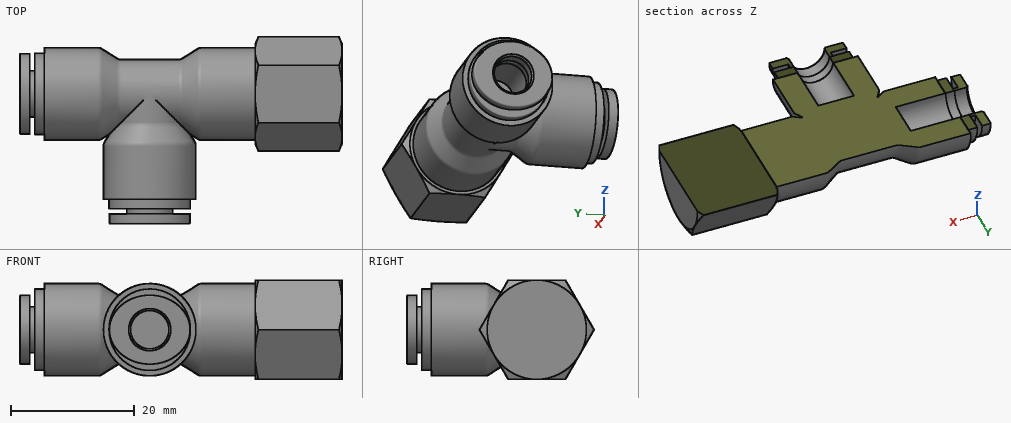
import cadquery as cq
import math


socket_diameter = 14.9
waist_diameter = 11.1
socket_end = 17.0
taper_outer = 8.0
taper_inner = 5.0
taper_blend_radius = 1.0

bore_diameter = 6.2
bore_bottom = 8.3

collar_diameter = 13.15
collar_end = 18.55
collar_edge_radius = 0.15

button_end = 20.95
flange_thickness = 1.6
flange_width = 13.0
flange_height = 11.1
flange_edge_radius = 0.2
neck_diameter = 7.5
button_mouth_chamfer = 0.3

nut_across_flats = 16.0
nut_across_corners = nut_across_flats / math.cos(math.radians(30))
nut_length = 14.05
nut_chamfer_length = 0.5

run_angle = 0
branch_angle = 90
nut_angle = 180
tube_arm_angles = [run_angle, branch_angle]
arm_angles = [run_angle, branch_angle, nut_angle]


def turn_to_arm(body, angle):
    """Turn a body built on the -X arm onto another arm."""
    return body.rotate((0, 0, 0), (0, 0, 1), angle)


def disc(diameter, start, end):
    """Cylinder on the -X axis between two distances from the origin."""
    return cq.Workplane("YZ").workplane(offset=-end).circle(diameter / 2).extrude(end - start)


def rims_at(distance, tolerance=0.025):
    """Selector for closed edges centred on the -X axis at a distance from the origin."""
    return cq.selectors.BoxSelector(
        (-distance - tolerance, -tolerance, -tolerance),
        (-distance + tolerance, tolerance, tolerance),
    )


def make_arm():
    """Waist, blended taper and socket of one solid arm on the -X side."""
    arm = (
        cq.Workplane("XY")
        .polyline([
            (0, 0),
            (0, waist_diameter / 2),
            (-taper_inner, waist_diameter / 2),
            (-taper_outer, socket_diameter / 2),
            (-socket_end, socket_diameter / 2),
            (-socket_end, 0),
        ])
        .close()
        .revolve(360, (0, 0, 0), (1, 0, 0))
    )
    for distance in [taper_inner, taper_outer]:
        arm = arm.edges(rims_at(distance)).fillet(taper_blend_radius)
    return arm


def make_tee_body():
    """Three equal arms joined at the origin, with a blind bore in both tube arms."""
    arm = make_arm()
    body = arm
    for angle in arm_angles[1:]:
        body = body.union(turn_to_arm(arm, angle))
    bore = disc(bore_diameter, bore_bottom, socket_end)
    for angle in tube_arm_angles:
        body = body.cut(turn_to_arm(bore, angle))
    return body.clean()


def make_collar():
    """Ring on the end face of a socket."""
    ring = disc(collar_diameter, socket_end, collar_end)
    ring = ring.faces("<X").edges().fillet(collar_edge_radius)
    return ring.cut(disc(bore_diameter, socket_end, collar_end))


def make_button():
    """Round neck on the collar, carrying the oval flange."""
    flange = (
        cq.Workplane("YZ")
        .workplane(offset=-button_end)
        .ellipse(flange_width / 2, flange_height / 2)
        .extrude(flange_thickness)
        .faces("<X").edges().fillet(flange_edge_radius)
    )
    button = flange.union(disc(neck_diameter, collar_end, button_end - flange_thickness))
    button = button.cut(disc(bore_diameter, collar_end, button_end))
    return button.edges(rims_at(button_end)).edges("%CIRCLE").chamfer(button_mouth_chamfer)


def make_nut():
    """Hexagon against the plain arm, with its corners chamfered at both ends."""
    nut_end = socket_end + nut_length
    hexagon = (
        cq.Workplane("YZ")
        .workplane(offset=socket_end)
        .polygon(6, nut_across_corners)
        .extrude(nut_length)
    )
    corner_limit = (
        cq.Workplane("XY")
        .polyline([
            (socket_end, 0),
            (socket_end, nut_across_flats / 2),
            (socket_end + nut_chamfer_length, nut_across_corners / 2),
            (nut_end - nut_chamfer_length, nut_across_corners / 2),
            (nut_end, nut_across_flats / 2),
            (nut_end, 0),
        ])
        .close()
        .revolve(360, (0, 0, 0), (1, 0, 0))
    )
    return hexagon.intersect(corner_limit)


tee_body = make_tee_body()
collars = [turn_to_arm(make_collar(), angle) for angle in tube_arm_angles]
buttons = [turn_to_arm(make_button(), angle) for angle in tube_arm_angles]
nut = make_nut()

result = cq.Compound.makeCompound([
    tee_body.val(),
    *[collar.val() for collar in collars],
    *[button.val() for button in buttons],
    nut.val(),
])